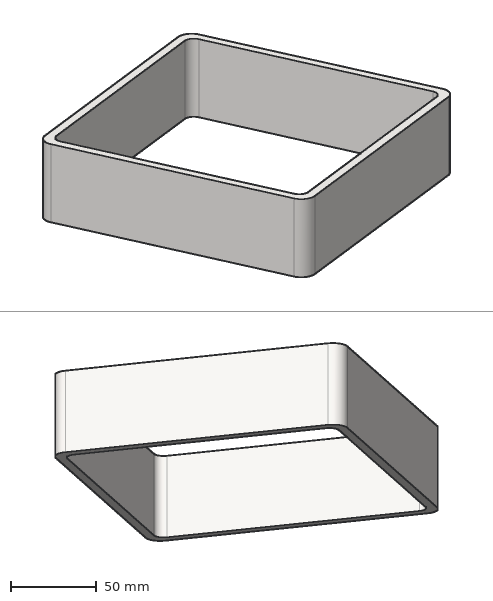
import cadquery as cq

side = 180.0
height = 50.0
wall = 6.1
outer_radius = 9.0
inner_radius = 6.0


def rounded_block(width, radius):
    """Square block standing on Z = 0 with rounded vertical edges."""
    block = cq.Workplane("XY").box(width, width, height, centered=(True, True, False))
    return block.edges("|Z").fillet(radius)


outer_block = rounded_block(side, outer_radius)
opening = rounded_block(side - 2 * wall, inner_radius)

result = outer_block.cut(opening)